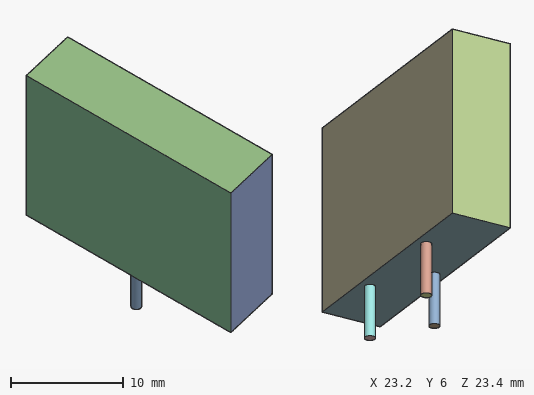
import cadquery as cq

width = 23.2
depth = 6.0
total_height = 23.4

pin_diameter = 1.0
pin_length = 5.1
pin_pitch_x = 5.0
pin_row_spacing = 3.75

housing_height = total_height - pin_length

pin_places = [
    (-pin_pitch_x, pin_row_spacing / 2),
    (0, -pin_row_spacing / 2),
    (pin_pitch_x, pin_row_spacing / 2),
]


def make_housing():
    """Plain rectangular block standing on the plane Z = 0."""
    return cq.Workplane("XY").box(width, depth, housing_height, centered=(True, True, False))


def make_pin(x, y):
    """Round pin hanging from the underside of the housing."""
    return cq.Workplane("XY").center(x, y).circle(pin_diameter / 2).extrude(-pin_length)


housing = make_housing()
pins = [make_pin(x, y) for x, y in pin_places]

result = cq.Compound.makeCompound([housing.val(), *[pin.val() for pin in pins]])